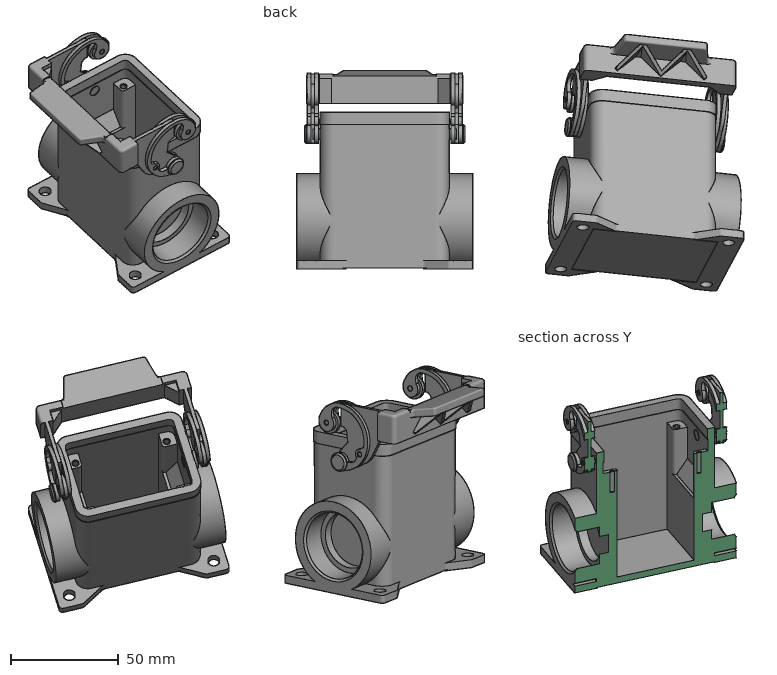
import cadquery as cq
import math

overall_x = 82.0
overall_z = 92.4

body_x, body_y = 60.1, 43.4
body_bottom = 0.4
rim_overhang_x, rim_overhang_y = 0.1, 0.4
rim_bottom, rim_top = 67.2, 73.0
body_corner_radius = 6.0

cavity_x, cavity_y = 52.3, 36.4
cavity_corner_radius = 2.3
lower_cavity_undercut = 0.3
lower_cavity_corner_radius = 3.2
floor_z = 3.9
post_inner_x, post_inner_y = 19.4, 10.9
post_top = 61.2
post_edge_radius = 1.4
screw_hole_x, screw_hole_y = 22.0, 13.5
screw_hole_radius = 1.3
screw_hole_chamfer = 0.4
screw_hole_depth = 11.1
end_wall_slope_top = 44.4
end_wall_ledge = 37.0
end_wall_ledge_width = 1.5

hub_axis_z = 22.8
hub_radius = body_y / 2
hub_inner_end = 24.0
entry_radius = 16.0
entry_depth = 12.5
entry_chamfer = 1.0
seat_radius = 13.5
seat_depth = 17.0

flange_y = 57.1
flange_thickness = 3.9
flange_corner_radius = 1.8
foot_x = 29.8
foot_root_x = 18.5
foot_blend_radius = 1.85
mount_hole_x, mount_hole_y = 34.8, 22.5
mount_hole_radius = 2.8

arm_x = 33.5
arm_thickness = 1.8
hook_thickness = 5.4
pivot_z = 62.75
pin_radius = 2.6
pin_head_radius = 4.4
pin_head_height = 1.3
pin_head_chamfer = 0.8
hook_center_z = 74.95
hook_outer_radius = 16.3
hook_inner_radius = 14.1
hook_tail_radius = 11.8
roller_y, roller_z = 7.5, 80.5
roller_radius = 5.5
hook_eye_radius = 4.25
hook_throat_radius = 3.5
rivet_boss_y, rivet_boss_z = -11.55, 68.5
rivet_boss_radius = 2.4
rivet_radius = 1.3
rivet_proud = 0.4
rivet_recess = 0.3

plate_rear_y = 0.4
plate_rear_bottom = (plate_rear_y, 79.7)
plate_notch_shoulder = (-1.9, 79.0)
plate_notch_side = (-3.0, 75.8)
plate_notch_bottom = (-3.6, 72.55)
plate_waist = (1.2, 67.3)
plate_heel = (-3.7, 59.3)
plate_toe_start, plate_toe_mid, plate_toe_end = (-10.2, 62.6), (-14.3, 64.5), (-16.8, 67.2)
hook_foot_rise = 0.7
hook_foot_end_y = -6.3
hook_foot_blend = (-8.3, 64.2)
hook_boss_corner = (-13.8, 72.5)
hook_throat_y = 1.1

handle_x = 72.8
handle_back, handle_inner, handle_front = -22.1, -27.7, -32.0
handle_bottom, handle_top = 77.0, 90.85
handle_side_wall = 6.0
handle_corner_radius = 2.1
handle_top_radius = 1.3
gusset_top = 88.7
wing_tip_y = -43.2
wing_thickness = 4.0
wing_angle = 10.0
wing_root_x = 24.0
wing_taper = 15.0
wing_flare = 1.85
wing_corner_radius = 1.4
wing_edge_radius = 0.7
rib_pitch = 10.6
rib_bottom, rib_top = 77.8, 88.9
rib_width = 1.5
rib_ramp_reach = 10.2



def slab(size_x, size_y, bottom, top, radius):
    """Upright block centred on Z with rounded vertical edges."""
    block = cq.Workplane("XY").workplane(offset=bottom).rect(size_x, size_y).extrude(top - bottom)
    return block.edges("|Z").fillet(radius)


def x_disc(radius, y, z, x_start, x_end):
    """Cylinder along X between two X positions."""
    return cq.Workplane("YZ", origin=(x_start, 0, 0)).center(y, z).circle(radius).extrude(x_end - x_start)


def mirrored_x(solid):
    """The solid together with its mirror image across X = 0."""
    return solid.union(solid.mirror("YZ"))


def on_circle(center, radius, degrees):
    angle = math.radians(degrees)
    return (center[0] + radius * math.cos(angle), center[1] + radius * math.sin(angle))


def arc_points(center, radius, start_degrees, end_degrees):
    """Midpoint and end point of an arc between two angles."""
    middle = on_circle(center, radius, (start_degrees + end_degrees) / 2)
    return middle, on_circle(center, radius, end_degrees)


def four_centers(half_x, half_y, z):
    """Workplane points at (+-half_x, +-half_y) at one height."""
    plane = cq.Workplane("XY", origin=(0, 0, z))
    return plane.rect(2 * half_x, 2 * half_y, forConstruction=True).vertices()




def make_cavity():
    """Space inside the housing, with the corner posts and thick end walls left out."""
    half_x = cavity_x / 2 + lower_cavity_undercut
    half_y = cavity_y / 2 + lower_cavity_undercut
    cavity = slab(2 * half_x, 2 * half_y, floor_z, rim_bottom, lower_cavity_corner_radius)
    cavity = cavity.union(slab(cavity_x, cavity_y, rim_bottom, rim_top, cavity_corner_radius))
    ledge_x = post_inner_x + end_wall_ledge_width
    end_wall = (
        cq.Workplane("XZ", origin=(0, half_y, 0))
        .polyline([
            (half_x, floor_z),
            (post_inner_x, floor_z),
            (post_inner_x, end_wall_ledge),
            (ledge_x, end_wall_ledge),
            (half_x, end_wall_slope_top),
        ])
        .close()
        .extrude(2 * half_y)
    )
    cavity = cavity.cut(mirrored_x(end_wall))
    for side_x in (-1, 1):
        for side_y in (-1, 1):
            inner_corner = (side_x * post_inner_x, side_y * post_inner_y, post_top / 2)
            post = (
                cq.Workplane("XY", origin=(0, 0, floor_z))
                .center(side_x * (half_x + post_inner_x) / 2, side_y * (half_y + post_inner_y) / 2)
                .rect(half_x - post_inner_x, half_y - post_inner_y)
                .extrude(post_top - floor_z)
                .edges("|Z")
                .edges(cq.NearestToPointSelector(inner_corner))
                .fillet(post_edge_radius)
            )
            cavity = cavity.cut(post)
    return cavity


def make_screw_holes():
    centers = four_centers(screw_hole_x, screw_hole_y, post_top)
    holes = centers.circle(screw_hole_radius).extrude(-screw_hole_depth)
    mouths = centers.circle(screw_hole_radius + screw_hole_chamfer).extrude(-screw_hole_chamfer, taper=45)
    return holes.union(mouths)


def make_entry():
    """Stepped blind bore of the cable entry on the -X hub."""
    face_x = -overall_x / 2
    bore = x_disc(entry_radius, 0, hub_axis_z, face_x, face_x + entry_depth)
    seat = x_disc(seat_radius, 0, hub_axis_z, face_x, face_x + seat_depth)
    mouth = (
        cq.Workplane("YZ", origin=(face_x, 0, hub_axis_z))
        .circle(entry_radius + entry_chamfer)
        .extrude(entry_chamfer, taper=45)
    )
    return bore.union(seat).union(mouth)


def make_feet():
    """Base flange cut back along both long sides to leave four drilled feet."""
    half_x, half_y = overall_x / 2, flange_y / 2
    flange = slab(overall_x, flange_y, 0, flange_thickness, flange_corner_radius)
    for side in (-1, 1):
        relief = (
            cq.Workplane("XY")
            .polyline([
                (-foot_x, side * half_y),
                (foot_x, side * half_y),
                (foot_root_x, side * body_y / 2),
                (-foot_root_x, side * body_y / 2),
            ])
            .close()
            .extrude(flange_thickness)
            .edges("|Z")
            .edges("<Y" if side > 0 else ">Y")
            .fillet(foot_blend_radius)
        )
        flange = flange.cut(relief)
        for foot_corner_x in (-foot_x, foot_x):
            foot_corner = (foot_corner_x, side * half_y, flange_thickness / 2)
            flange = (
                flange.edges("|Z")
                .edges(cq.NearestToPointSelector(foot_corner))
                .fillet(foot_blend_radius)
            )
    core = cq.Workplane("XY").rect(2 * foot_x, body_y).extrude(body_bottom)
    flange = flange.cut(core)
    centers = four_centers(mount_hole_x, mount_hole_y, 0)
    return flange.cut(centers.circle(mount_hole_radius).extrude(flange_thickness))


def make_housing():
    rim_x, rim_y = body_x + 2 * rim_overhang_x, body_y + 2 * rim_overhang_y
    housing = slab(body_x, body_y, body_bottom, rim_bottom, body_corner_radius)
    housing = housing.union(slab(rim_x, rim_y, rim_bottom, rim_top, body_corner_radius))
    hub = x_disc(hub_radius, 0, hub_axis_z, -overall_x / 2, -hub_inner_end)
    housing = housing.union(mirrored_x(hub)).union(make_feet())
    for cutter in (make_cavity(), make_screw_holes(), mirrored_x(make_entry())):
        housing = housing.cut(cutter)
    return housing




def make_arm_plate():
    """Thin side plate from the handle down to the pivot."""
    start, end = -arm_x - arm_thickness / 2, -arm_x + arm_thickness / 2
    profile = (
        cq.Workplane("YZ", origin=(start, 0, 0))
        .moveTo(plate_rear_y, handle_top)
        .lineTo(*plate_rear_bottom)
        .threePointArc(plate_notch_shoulder, plate_notch_side)
        .lineTo(*plate_notch_bottom)
        .lineTo(*plate_waist)
        .lineTo(0, pivot_z - hook_eye_radius)
        .lineTo(*plate_heel)
        .lineTo(*plate_toe_start)
        .threePointArc(plate_toe_mid, plate_toe_end)
        .lineTo(handle_back, handle_bottom)
        .lineTo(handle_back, handle_top)
        .close()
        .extrude(arm_thickness)
    )
    roller = x_disc(roller_radius, roller_y, roller_z, start, end)
    return profile.union(roller)


def make_hook():
    """Pair of C-shaped cheeks that hold the roller and clasp the arm plate."""
    start, end = -arm_x - hook_thickness / 2, -arm_x + hook_thickness / 2
    center = (0, hook_center_z)
    eye = (roller_y, roller_z)
    tail = (0, hook_center_z + hook_outer_radius - hook_tail_radius)
    tail_angle = math.degrees(math.atan2(eye[1] - tail[1], eye[0] - tail[0]))
    throat = (hook_throat_y, hook_center_z + hook_inner_radius - hook_throat_radius)
    boss = (rivet_boss_y, rivet_boss_z)
    foot_z = pivot_z + hook_foot_rise
    boss_start = on_circle(boss, rivet_boss_radius, -45)
    profile = (
        cq.Workplane("YZ", origin=(start, 0, 0))
        .moveTo(*on_circle(eye, hook_eye_radius, tail_angle))
        .threePointArc(*arc_points(tail, hook_tail_radius, tail_angle, 90))
        .threePointArc(*arc_points(center, hook_outer_radius, 90, 270))
        .lineTo(0, foot_z)
        .lineTo(hook_foot_end_y, foot_z)
        .threePointArc(hook_foot_blend, boss_start)
        .threePointArc(*arc_points(boss, rivet_boss_radius, -45, 90))
        .lineTo(*hook_boss_corner)
        .lineTo(*on_circle(center, hook_inner_radius, 185))
        .threePointArc(*arc_points(center, hook_inner_radius, 185, 90))
        .lineTo(throat[0], throat[1] + hook_throat_radius)
        .threePointArc(*arc_points(throat, hook_throat_radius, 90, 0))
        .lineTo(*on_circle(eye, hook_eye_radius, 140))
        .threePointArc(*arc_points(eye, hook_eye_radius, 140, 360 + tail_angle))
        .close()
        .extrude(hook_thickness)
    )
    hook = profile.union(x_disc(hook_eye_radius, 0, pivot_z, start, end))
    gap = (
        cq.Workplane("YZ", origin=(-arm_x - arm_thickness / 2, 0, 0))
        .center(0, hook_center_z)
        .circle(2 * hook_outer_radius)
        .extrude(arm_thickness)
    )
    return hook.cut(gap)


def make_arm():
    """Complete -X arm: plate, hook, rivets and pivot pin."""
    outer_x, inner_x = -arm_x - hook_thickness / 2, -arm_x + hook_thickness / 2
    arm = make_arm_plate().union(make_hook())
    for y, z in ((roller_y, roller_z), (rivet_boss_y, rivet_boss_z)):
        arm = arm.union(x_disc(rivet_radius, y, z, -arm_x, inner_x + rivet_proud))
        recess = cq.Workplane("YZ", origin=(outer_x, y, z)).circle(rivet_radius)
        recess = recess.extrude(rivet_recess, taper=45)
        arm = arm.cut(recess)
    head = x_disc(pin_head_radius, 0, pivot_z, outer_x - pin_head_height, outer_x)
    head = head.faces("<X").chamfer(pin_head_chamfer)
    pin = x_disc(pin_radius, 0, pivot_z, -arm_x, -cavity_x / 2)
    return arm.union(head).union(pin)


def make_wing():
    """Thumb wing rising outward from the handle, and the space to clear above its root."""
    slope = math.tan(math.radians(wing_angle))
    rise = slope * (handle_inner - wing_tip_y)
    rounding_loss = wing_edge_radius * (slope + math.hypot(1, slope) - 1)
    tip_top = overall_z + rounding_loss
    root_top = tip_top - rise
    clear_top = tip_top + wing_thickness
    flare_center = (wing_root_x, handle_front - wing_flare)
    neck = on_circle(flare_center, wing_flare, 180 - wing_taper)
    tip_x = neck[0] - math.tan(math.radians(wing_taper)) * (neck[1] - wing_tip_y)
    half_plan = (
        cq.Workplane("XY", origin=(0, 0, handle_bottom))
        .moveTo(0, handle_inner)
        .lineTo(wing_root_x, handle_inner)
        .lineTo(wing_root_x, handle_front)
        .threePointArc(on_circle(flare_center, wing_flare, 135), neck)
        .lineTo(tip_x, wing_tip_y)
        .lineTo(0, wing_tip_y)
        .close()
        .extrude(clear_top - handle_bottom)
    )
    plan = mirrored_x(half_plan).edges("|Z and <Y").fillet(wing_corner_radius)
    section = [
        (handle_inner, root_top),
        (wing_tip_y, tip_top),
        (wing_tip_y, tip_top - wing_thickness),
        (handle_inner, root_top - wing_thickness),
    ]
    wedge = cq.Workplane("YZ").polyline(section).close().extrude(wing_root_x, both=True)
    wing = plan.intersect(wedge)
    wing = wing.faces("<Y").edges("not |Z").fillet(wing_edge_radius)
    recess = (
        cq.Workplane("YZ")
        .polyline(section[:2] + [(wing_tip_y, clear_top), (handle_inner, clear_top)])
        .close()
        .extrude(wing_root_x, both=True)
    )
    return wing, recess


def make_ribs():
    """Zigzag ribs under the wing, trimmed to a ramp."""
    half_height = rib_width / math.sqrt(2)
    end_offset = half_height / 2
    end_x, end_z = 2 * rib_pitch, rib_bottom + half_height
    upper = [
        (-end_x - end_offset, end_z + end_offset),
        (-rib_pitch, rib_top + half_height),
        (0, end_z + half_height),
        (rib_pitch, rib_top + half_height),
        (end_x + end_offset, end_z + end_offset),
    ]
    lower = [
        (end_x - end_offset, end_z - end_offset),
        (rib_pitch, rib_top - half_height),
        (0, rib_bottom),
        (-rib_pitch, rib_top - half_height),
        (-end_x + end_offset, end_z - end_offset),
    ]
    zigzag = (
        cq.Workplane("XZ", origin=(0, handle_front, 0))
        .polyline(upper + lower)
        .close()
        .extrude(rib_ramp_reach)
    )
    ramp = (
        cq.Workplane("YZ")
        .polyline([
            (handle_front, rib_bottom),
            (handle_front, rib_top),
            (handle_front - rib_ramp_reach, rib_top),
        ])
        .close()
        .extrude(handle_x / 2, both=True)
    )
    return zigzag.intersect(ramp)


def make_handle():
    """Bar with open inside, corner gussets, thumb wing and ribs."""
    height = handle_top - handle_bottom
    inner_half_x = handle_x / 2 - handle_side_wall
    bar = (
        cq.Workplane("XY", origin=(0, 0, handle_bottom))
        .moveTo(0, (handle_back + handle_front) / 2)
        .rect(handle_x, handle_back - handle_front)
        .extrude(height)
        .edges("|Z and <Y")
        .fillet(handle_corner_radius)
    )
    bar = bar.faces(">Z").edges("not >Y").fillet(handle_top_radius)
    opening = (
        cq.Workplane("XY", origin=(0, 0, handle_bottom))
        .moveTo(0, (handle_back + handle_inner) / 2)
        .rect(2 * inner_half_x, handle_back - handle_inner)
        .extrude(height)
    )
    gusset_leg = handle_back - handle_inner
    gusset = (
        cq.Workplane("XY", origin=(0, 0, handle_bottom))
        .polyline([
            (-inner_half_x, handle_inner),
            (-inner_half_x, handle_back),
            (gusset_leg - inner_half_x, handle_inner),
        ])
        .close()
        .extrude(gusset_top - handle_bottom)
    )
    wing, recess = make_wing()
    handle = bar.cut(opening).cut(recess).union(mirrored_x(gusset))
    return handle.union(wing).union(make_ribs())


result = make_housing().union(mirrored_x(make_arm())).union(make_handle())